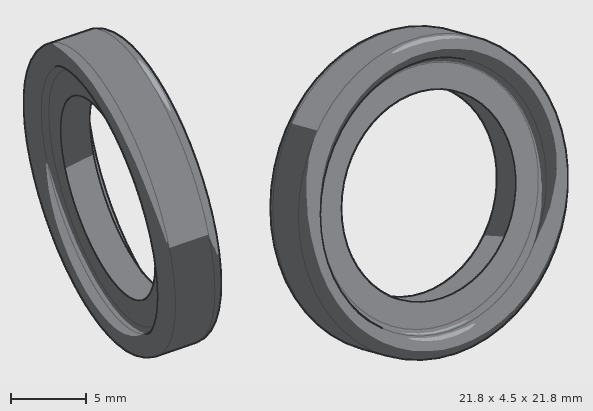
import cadquery as cq
import math

outer_radius = 10.9
bore_radius = 14.2 / 2
width = 4.5
rim_radius = 0.8
root_fillet = 0.37

half_width = width / 2
rim_centre_radius = outer_radius - rim_radius
rim_inner_radius = outer_radius - 2 * rim_radius
rim_base = half_width - rim_radius
web_half_width = rim_base - root_fillet
web_outer_radius = rim_inner_radius - root_fillet

fillet_mid_offset = root_fillet * math.sqrt(0.5)
fillet_mid_radius = web_outer_radius + fillet_mid_offset
fillet_mid_height = rim_base - fillet_mid_offset

half_section = (
    cq.Workplane("XY")
    .moveTo(bore_radius, -web_half_width)
    .lineTo(web_outer_radius, -web_half_width)
    .threePointArc((fillet_mid_radius, -fillet_mid_height), (rim_inner_radius, -rim_base))
    .threePointArc((rim_centre_radius, -half_width), (outer_radius, -rim_base))
    .lineTo(outer_radius, rim_base)
    .threePointArc((rim_centre_radius, half_width), (rim_inner_radius, rim_base))
    .threePointArc((fillet_mid_radius, fillet_mid_height), (web_outer_radius, web_half_width))
    .lineTo(bore_radius, web_half_width)
    .close()
)

result = half_section.revolve(360, (0, 0, 0), (0, 1, 0))